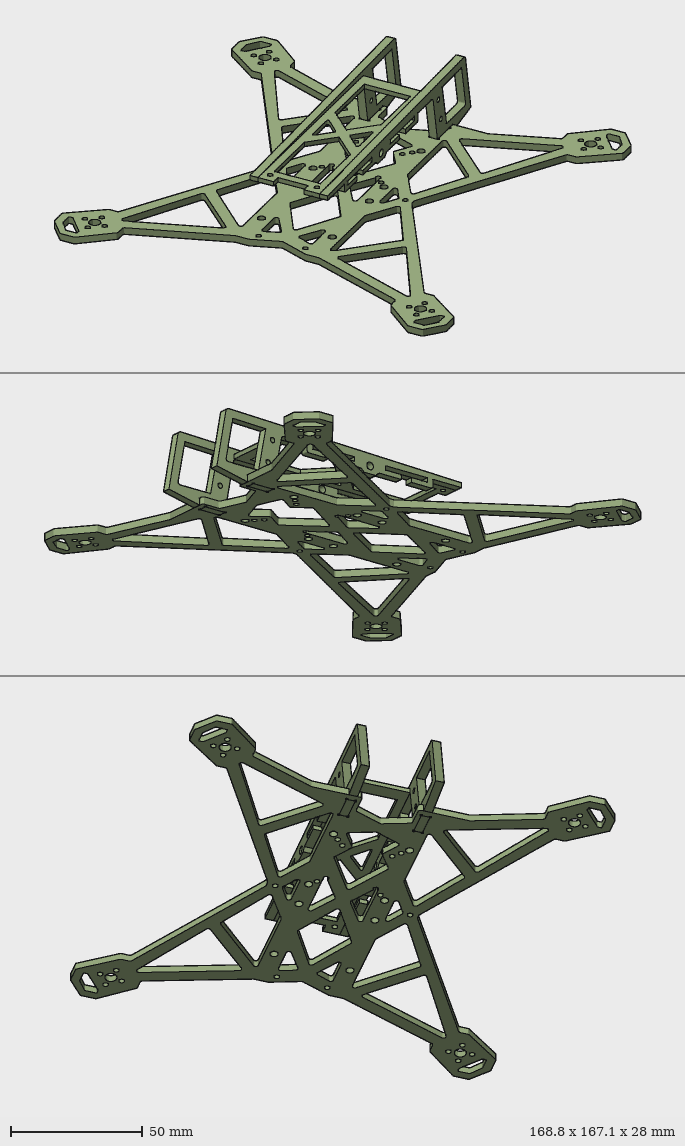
import cadquery as cq
import math

frame_length = 167.14
frame_width = 168.79
frame_height = 27.98
base_thickness = 3.0
small_hole = 2.1
bolt_hole = 3.1
motor_shaft_hole = 4.6
corner_radius = 1.0

middle_y = -0.15

rail_thickness = 3.5
rail_inner_x = 13.25
rail_centre_x = rail_inner_x + rail_thickness / 2
rail_front_y = -44.4

plate_thickness = 2.0
plate_bottom_z = 23.0
plate_top_z = plate_bottom_z + plate_thickness

tab_front_y = 46.5
tab_back_y = 55.9
tab_length = tab_back_y - tab_front_y
tab_centre_y = (tab_front_y + tab_back_y) / 2
slot_relief_hole = 1.0


def mirror_x(points):
    return [(-x, y) for x, y in points]


def mirror_y(points):
    return [(x, 2 * middle_y - y) for x, y in points]


def closed_about_x(points):
    """Closed outline from the points of its left half, mirrored across the Y axis."""
    right_half = [(-x, y) for x, y in reversed(points) if x != 0]
    return points + right_half


def prism(points, height, radius=0.0):
    """Upright prism from z = 0, its vertical edges rounded when a radius is given."""
    body = cq.Workplane("XY").polyline(points).close().extrude(height)
    if radius > 0:
        body = body.edges("|Z").fillet(radius)
    return body


base_back_y = 58.7
base_front_y = -54.0
half_width = frame_width / 2
half_length = frame_length / 2
arm_slope = math.tan(math.radians(20))

pad_neck = (-58.7, 68.5)
pad_outline = [
    pad_neck,
    (-58.7, 72.8),
    (-71.8, half_length),
    (-78.0, half_length),
    (-half_width, 76.2),
    (-half_width, 69.6),
    (-69.9, 58.8),
    (-65.9, 58.8),
]
waist_point = (-30.4, 0.9)


def arm_edge_x(y):
    """X where the outer edge of a left arm is at a given distance from the X axis."""
    return pad_neck[0] + (pad_neck[1] - y) / arm_slope


back_notch_half_width = 11.3
front_notch_half_width = 12.2
back_notch_corner_y = 50.6
front_vee_y = base_front_y + front_notch_half_width * arm_slope
back_vee_y = back_notch_corner_y - back_notch_half_width * arm_slope

front_pad_outline = [(x, -y) for x, y in reversed(pad_outline)]

base_left_half = (
    [
        (0, back_vee_y),
        (-back_notch_half_width, back_notch_corner_y),
        (-back_notch_half_width, base_back_y),
        (arm_edge_x(base_back_y), base_back_y),
    ]
    + pad_outline
    + [waist_point]
    + mirror_y([waist_point])
    + front_pad_outline
    + [
        (arm_edge_x(2 * middle_y - base_front_y), base_front_y),
        (-front_notch_half_width, base_front_y),
        (0, front_vee_y),
    ]
)

arm_outer_window = [(-63.3, 64.5), (-23.4, 50.2), (-43.6, 30.7)]
side_window_x = -18.9
arm_inner_window = [
    (side_window_x, 47.9),
    (side_window_x, 17.3),
    (-27.2, 4.4),
    (-40.4, 26.9),
]
strap_slot = [
    (-77.3, 80.0),
    (-72.5, 80.0),
    (-72.5, 78.3),
    (-79.2, 70.5),
    (-80.9, 70.5),
    (-80.9, 75.3),
]
strap_slot_radius = 0.3

waist_window = [(side_window_x, 8.5), (side_window_x, -8.8), (-24.3, middle_y)]
centre_window_x = 11.0
stack_y = 20.0
stack_hole_spacings = [(20.0, small_hole), (25.5, small_hole), (30.5, bolt_hole)]
boss_y = stack_y + stack_hole_spacings[0][0] / 2
boss_tip_x = 6.0
boss_half_length = 7.4
back_window = closed_about_x(
    [
        (0, boss_y + boss_half_length + centre_window_x * arm_slope),
        (-centre_window_x, boss_y + boss_half_length),
        (-boss_tip_x, boss_y),
        (-centre_window_x, boss_y - boss_half_length),
        (0, 5.8),
    ]
)
front_window = closed_about_x([(0, -4.5), (-centre_window_x, -22.4), (0, -40.4)])
cross_window = [(-centre_window_x, 12.0), (-centre_window_x, -12.0), (-2.9, 0)]
toe_window = [(-centre_window_x, -32.3), (-3.4, -43.6), (-centre_window_x, -46.6)]

motor_x = 70.15
motor_y = 70.05
motor_bolt_radius = 4.6
motor_bolt_tilt = 8.0
waist_hole_x = 27.1
second_stack_y = -22.5
toe_hole = (10.1, -50.0)


def sides(points):
    """An opening and its copy mirrored across the Y axis."""
    return [points, mirror_x(points)]


def quarters(points):
    """An opening and its copies on all four arms."""
    return sides(points) + sides(mirror_y(points))


def square_of_holes(spacing, centre_y):
    half = spacing / 2
    return [(sx * half, centre_y + sy * half) for sx in (-1, 1) for sy in (-1, 1)]


def motor_bolts(side_x, side_y):
    """Centres of the four bolts round one motor, turned to follow its arm."""
    centres = []
    for quarter in range(4):
        angle = math.radians(90 * quarter - side_x * side_y * motor_bolt_tilt)
        centres.append(
            (
                side_x * motor_x + motor_bolt_radius * math.cos(angle),
                side_y * motor_y + motor_bolt_radius * math.sin(angle),
            )
        )
    return centres


def drill(body, centres, diameter):
    cutter = cq.Workplane("XY").pushPoints(centres).circle(diameter / 2).extrude(base_thickness)
    return body.cut(cutter)


def make_tab_slot(centre_x):
    """Slot for a rail tab, with a relief hole at each corner."""
    centre = cq.Workplane("XY").center(centre_x, tab_centre_y)
    slot = centre.rect(rail_thickness, tab_length).extrude(base_thickness)
    corners = centre.rect(rail_thickness, tab_length, forConstruction=True).vertices()
    return slot.union(corners.circle(slot_relief_hole / 2).extrude(base_thickness))


def make_base():
    base = prism(closed_about_x(base_left_half), base_thickness, corner_radius)

    windows = [back_window, front_window]
    windows += quarters(arm_outer_window) + quarters(arm_inner_window)
    windows += sides(waist_window) + sides(cross_window) + sides(toe_window)
    for window in windows:
        base = base.cut(prism(window, base_thickness, corner_radius))
    for slot in quarters(strap_slot):
        base = base.cut(prism(slot, base_thickness, strap_slot_radius))

    for side_x in (-1, 1):
        for side_y in (-1, 1):
            base = drill(base, [(side_x * motor_x, side_y * motor_y)], motor_shaft_hole)
            base = drill(base, motor_bolts(side_x, side_y), small_hole)
    for spacing, diameter in stack_hole_spacings:
        base = drill(base, square_of_holes(spacing, stack_y), diameter)
    base = drill(base, square_of_holes(stack_hole_spacings[-1][0], second_stack_y), bolt_hole)
    base = drill(base, [(-waist_hole_x, middle_y), (waist_hole_x, middle_y)], small_hole)
    base = drill(base, [toe_hole, (-toe_hole[0], toe_hole[1])], small_hole)

    for centre_x in (-rail_centre_x, rail_centre_x):
        base = base.cut(make_tab_slot(centre_x))
    return base


bar_high_end_y = 67.4
top_slope = (frame_height - plate_top_z) / (bar_high_end_y - rail_front_y)
leg_lean = math.tan(math.radians(10.4))

leg_back_foot_y = 73.5
leg_front_foot_y = 45.9
leg_corner_radius = 1.5
camera_window_bottom_z = 6.1
camera_window_back = 3.7
camera_window_front = 8.1
top_bar_depth = 3.5
leg_bolts = [(46.7, 20.2), (48.8, 10.5)]

hanger_centre_y = -0.3
hanger_half_length = 30.3
hanger_bottom_z = 19.2
hanger_corner_radius = 0.9
hook_slot_outer = 27.5
hook_slot_inner = 7.5
hook_slot_bottom_z = 21.2
hook_gap_outer = 19.9
hook_gap_inner = 15.1
boss_bottom_z = 17.8
boss_bottom_half = 2.9
boss_top_half = 4.4
boss_bolt_z = 21.1


def bar_top_z(y):
    return plate_top_z + (y - rail_front_y) * top_slope


def leg_y(foot_y, z):
    """Y of a leaning leg edge at height z, from its place at the top of the base."""
    return foot_y - (z - base_thickness) * leg_lean


def rail_prism(points):
    return cq.Workplane("YZ").polyline(points).close().extrude(rail_thickness)


def rail_block(y_from, y_to, z_from, z_to):
    return rail_prism([(y_from, z_from), (y_to, z_from), (y_to, z_to), (y_from, z_to)])


def rail_bolt(y, z, diameter):
    return cq.Workplane("YZ").center(y, z).circle(diameter / 2).extrude(rail_thickness)


def make_rail_frame():
    """Leaning leg with its camera window and the tapered bar that runs forward from it."""
    leg_top_y = leg_y(leg_back_foot_y, frame_height)
    frame = rail_prism(
        [
            (rail_front_y, plate_bottom_z),
            (leg_y(leg_front_foot_y, plate_bottom_z), plate_bottom_z),
            (leg_front_foot_y, base_thickness),
            (tab_front_y, base_thickness),
            (tab_front_y, 0),
            (tab_back_y, 0),
            (tab_back_y, base_thickness),
            (base_back_y, base_thickness),
            (base_back_y, 0),
            (leg_back_foot_y, base_thickness),
            (leg_top_y, bar_top_z(leg_top_y)),
            (rail_front_y, bar_top_z(rail_front_y)),
        ]
    )
    corner = cq.selectors.BoxSelector(
        (-1, leg_top_y - 1, frame_height - 1), (rail_thickness + 1, leg_top_y + 1, frame_height + 1)
    )
    frame = frame.edges("|X").edges(corner).fillet(leg_corner_radius)
    inner_corner_y = leg_y(leg_front_foot_y, plate_bottom_z)
    corner = cq.selectors.BoxSelector(
        (-1, inner_corner_y - 1, plate_bottom_z - 1), (rail_thickness + 1, inner_corner_y + 1, plate_bottom_z + 1)
    )
    return frame.edges("|X").edges(corner).fillet(leg_corner_radius)


def make_camera_window():
    back_foot = leg_back_foot_y - camera_window_back
    front_foot = leg_front_foot_y + camera_window_front
    back_y = leg_y(back_foot, plate_top_z)
    front_y = leg_y(front_foot, plate_top_z)
    window = rail_prism(
        [
            (leg_y(back_foot, camera_window_bottom_z), camera_window_bottom_z),
            (back_y, bar_top_z(back_y) - top_bar_depth),
            (front_y, bar_top_z(front_y) - top_bar_depth),
            (leg_y(front_foot, camera_window_bottom_z), camera_window_bottom_z),
        ]
    )
    return window.edges("|X and >Y").fillet(corner_radius)


def make_hanger():
    """Block under the bar with two T-shaped strap slots and a bolt boss at its middle."""
    hanger = rail_block(-hanger_half_length, hanger_half_length, hanger_bottom_z, plate_bottom_z)
    hanger = hanger.edges("|X and <Z").fillet(hanger_corner_radius)
    boss = rail_prism(
        [
            (-boss_top_half, hanger_bottom_z),
            (-boss_bottom_half, boss_bottom_z),
            (boss_bottom_half, boss_bottom_z),
            (boss_top_half, hanger_bottom_z),
        ]
    )
    hanger = hanger.union(boss)
    for side in (-1, 1):
        slot = rail_block(side * hook_slot_inner, side * hook_slot_outer, hook_slot_bottom_z, plate_bottom_z)
        gap = rail_block(side * hook_gap_inner, side * hook_gap_outer, hanger_bottom_z, plate_bottom_z)
        hanger = hanger.cut(slot).cut(gap)
    return hanger.translate((0, hanger_centre_y, 0))


def make_rail(inner_left_x):
    rail = make_rail_frame().cut(make_camera_window()).union(make_hanger())
    rail = rail.cut(rail_bolt(hanger_centre_y, boss_bolt_z, bolt_hole))
    for y, z in leg_bolts:
        rail = rail.cut(rail_bolt(y, z, small_hole))
    return rail.translate((inner_left_x, 0, 0))


plate_back_y = 42.2
plate_window_x = 9.9
plate_window_back_y = 36.7
plate_window_front_y = -37.4
plate_window_knee_y = 12.7
plate_window_tip_y = 3.05
plate_triangle = [(-plate_window_x, 7.0), (-plate_window_x, -7.0), (-2.9, 0)]
plate_triangle_radius = 0.5
plate_notch_x = 6.5
plate_notch_y = -40.9
plate_hole = (10.1, -40.5)


def plate_window(end_y, side):
    """House-shaped opening whose point faces the middle of the plate."""
    return [
        (-plate_window_x, end_y),
        (-plate_window_x, side * plate_window_knee_y),
        (0, side * plate_window_tip_y),
        (plate_window_x, side * plate_window_knee_y),
        (plate_window_x, end_y),
    ]


def make_top_plate():
    outline = closed_about_x(
        [
            (-plate_notch_x, plate_notch_y),
            (-plate_notch_x, rail_front_y),
            (-rail_inner_x, rail_front_y),
            (-rail_inner_x, plate_back_y),
        ]
    )
    plate = prism(outline, plate_thickness)
    plate = plate.cut(prism(plate_window(plate_window_back_y, 1), plate_thickness))
    plate = plate.cut(prism(plate_window(plate_window_front_y, -1), plate_thickness))
    for triangle in sides(plate_triangle):
        plate = plate.cut(prism(triangle, plate_thickness, plate_triangle_radius))
    plate = drill(plate, [plate_hole, (-plate_hole[0], plate_hole[1])], small_hole)
    return plate.translate((0, 0, plate_bottom_z))


base = make_base()
top_plate = make_top_plate()
rails = [make_rail(x) for x in (-rail_inner_x - rail_thickness, rail_inner_x)]

result = cq.Compound.makeCompound([base.val(), top_plate.val(), *[rail.val() for rail in rails]])